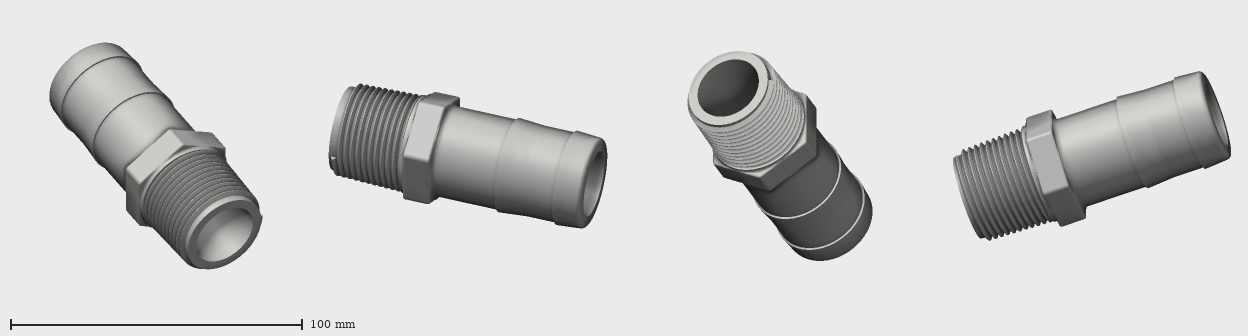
import cadquery as cq
import math


length = 90.9
bore_diameter = 22.8

tail_diameter = 31.7
barb_diameter = 33.2
barb_starts = (0.0, 20.9)
barb_length = 9.6
nose_radius = 1.5

hex_start = 53.8
hex_width = 9.55
hex_flats = 34.8
hex_corner_radius = 1.55
hex_edge_radius = 0.7
hex_end = hex_start + hex_width

shoulder_diameter = 34.55
collar_end = 64.9
collar_fillet = 0.8

taper = 1 / 16
root_diameter = 29.5
thread_end = 89.1
thread_start = 63.8
thread_turns = 11.5
thread_height = 1.55
thread_base = 2.0
crest_flat = 0.2
thread_overlap = 0.1

pitch = (thread_end - thread_start) / thread_turns
taper_angle = math.degrees(math.atan(taper / 2))
tail_radius = tail_diameter / 2
shoulder_radius = shoulder_diameter / 2


def root_radius(x):
    return (root_diameter + taper * (length - x)) / 2


def cylinder(x_start, x_end, diameter):
    return cq.Workplane("YZ", origin=(x_start, 0, 0)).circle(diameter / 2).extrude(x_end - x_start)


def revolve_about_x(outline):
    return outline.close().revolve(360, (0, 0, 0), (1, 0, 0))


def barb(x_start):
    """Cone that widens from the tail diameter to a sharp step facing the hexagon."""
    x_end = x_start + barb_length
    outline = (
        cq.Workplane("XZ")
        .moveTo(x_start, 0)
        .lineTo(x_start, tail_radius)
        .lineTo(x_end, barb_diameter / 2)
        .lineTo(x_end, 0)
    )
    return revolve_about_x(outline)


def hose_tail():
    tail = cylinder(0, hex_start, tail_diameter)
    for x_start in barb_starts:
        tail = tail.union(barb(x_start))
    return tail.faces("<X").edges().fillet(nose_radius)


def hex_prism(x_start, x_end):
    """Hexagon with flats facing +Y and -Y, and rounded corners."""
    corner_diameter = hex_flats / math.cos(math.radians(30))
    prism = (
        cq.Workplane("YZ", origin=(x_start, 0, 0))
        .transformed(rotate=(0, 0, 90))
        .polygon(6, corner_diameter)
        .extrude(x_end - x_start)
    )
    return prism.edges("|X").fillet(hex_corner_radius)


def hexagon():
    return hex_prism(hex_start, hex_end).faces("<X or >X").edges().fillet(hex_edge_radius)


def tail_shoulder():
    """Concave flare from the tail to a round disc that runs into the hexagon."""
    flare = shoulder_radius - tail_radius
    arc_offset = flare * math.sqrt(0.5)
    outline = (
        cq.Workplane("XZ")
        .moveTo(hex_start - flare, 0)
        .lineTo(hex_start - flare, tail_radius)
        .threePointArc(
            (hex_start - flare + arc_offset, shoulder_radius - arc_offset),
            (hex_start, shoulder_radius),
        )
        .lineTo(hex_end, shoulder_radius)
        .lineTo(hex_end, 0)
    )
    return revolve_about_x(outline)


def collar():
    """Plain ring after the hexagon, with a concave fillet under the hexagon corners."""
    arc_offset = collar_fillet * math.sqrt(0.5)
    fillet_end = hex_end + collar_fillet
    fillet_top = shoulder_radius + collar_fillet
    outline = (
        cq.Workplane("XZ")
        .moveTo(hex_end - hex_edge_radius, 0)
        .lineTo(hex_end - hex_edge_radius, shoulder_radius)
        .lineTo(hex_end, shoulder_radius)
        .lineTo(hex_end, fillet_top)
        .threePointArc(
            (fillet_end - arc_offset, fillet_top - arc_offset),
            (fillet_end, shoulder_radius),
        )
        .lineTo(collar_end, shoulder_radius)
        .lineTo(collar_end, 0)
    )
    return revolve_about_x(outline).intersect(hex_prism(hex_start, collar_end))


def thread_core():
    outline = (
        cq.Workplane("XZ")
        .moveTo(hex_end, 0)
        .lineTo(hex_end, root_radius(hex_end))
        .lineTo(length, root_radius(length))
        .lineTo(length, 0)
    )
    return revolve_about_x(outline)


def thread_tooth():
    """Right-hand tooth, swept along Z from its small end and then turned to run towards -X."""
    end_radius = root_radius(thread_end)
    path = cq.Wire.makeHelix(pitch, thread_end - thread_start, end_radius, angle=taper_angle)
    flank_slope = (thread_base - crest_flat) / 2 / thread_height
    foot_half = thread_base / 2 + flank_slope * thread_overlap
    tooth = (
        cq.Workplane("XZ")
        .moveTo(end_radius - thread_overlap, -foot_half)
        .lineTo(end_radius + thread_height, -crest_flat / 2)
        .lineTo(end_radius + thread_height, crest_flat / 2)
        .lineTo(end_radius - thread_overlap, foot_half)
        .close()
        .sweep(cq.Workplane(path), isFrenet=True)
    )
    return (
        tooth.rotate((0, 0, 0), (0, 1, 0), -90)
        .rotate((0, 0, 0), (1, 0, 0), -90)
        .translate((thread_end, 0, 0))
    )


thread = thread_core().union(thread_tooth())
body = hose_tail().union(tail_shoulder()).union(hexagon()).union(collar()).union(thread)
result = body.cut(cylinder(0, length, bore_diameter))